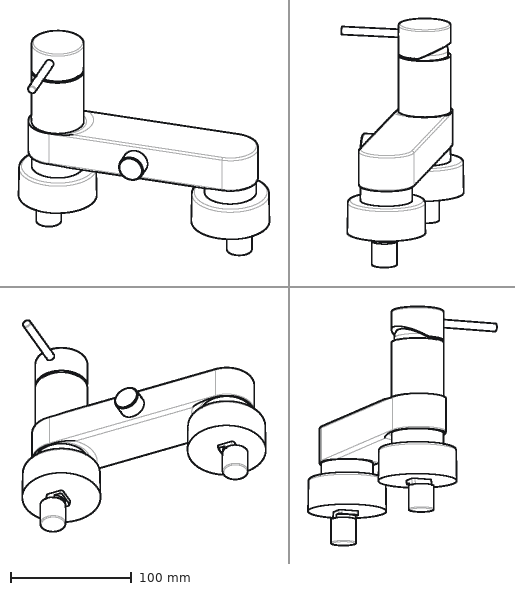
import cadquery as cq
import math


INLET_SPACING = 150.0
SHANK_RADIUS = 10.5
SHANK_HEIGHT = 20.2
SHANK_OFFSET = 7.7
SHANK_EDGE = 0.9
FLANGE_BOTTOM_RADIUS = 32.5
FLANGE_TOP_RADIUS = 32.0
FLANGE_BOTTOM = 25.8
FLANGE_TOP = 53.0
FLANGE_EDGE = 2.0
SLEEVE_RADIUS = 21.5

NECK_LENGTH_X = 14.8
NECK_LENGTH_Y = 17.6
NECK_CORNER = 2.0
NECK_TOP_OFFSET = 2.5
NECK_BOTTOM_OFFSET = 4.0
NECK_FOOT_RADIUS = 10.3
NECK_FOOT_TOP = 22.8

BODY_RADIUS = 23.0
LEFT_ARC_START = -0.5
LEFT_END = -24.5
BODY_BOTTOM = 64.3
BODY_TOP = 96.3
BODY_TOP_EDGE = 1.7
BODY_BOTTOM_EDGE = 3.0
DIP_DEPTH = 1.5
DIP_INNER_RADIUS = 23.6
DIP_OUTER_RADIUS = 29.5

COLUMN_RADIUS = 21.7
COLUMN_TOP = 142.0
DOME_RADIUS = 19.3
DOME_TOP = 154.8
DOME_EDGE = 8.4
CAP_BOTTOM = 143.8
CAP_TOP = 168.8
CAP_EDGE = 1.3
CAP_CUT_TOP = 153.7
CAP_CUT_END = -0.5
CAP_CUT_BLEND = 8.5

LEVER_RADIUS = 3.5
LEVER_Z = 159.7
LEVER_TIP = -70.0
LEVER_EDGE = 0.6

OUTLET_RADIUS = 10.5
OUTLET_Z = 80.5
OUTLET_TIP = -36.1
OUTLET_EDGE = 0.9


def cylinder(radius, bottom, top, x=0):
    return cq.Workplane("XY", origin=(x, 0, bottom)).circle(radius).extrude(top - bottom)


def rod_toward_front(radius, x, z, tip):
    """Horizontal rod from the plane Y = 0 to a tip at negative Y."""
    return cq.Workplane("XZ", origin=(x, 0, z)).circle(radius).extrude(-tip)


def make_body():
    bar = (
        cq.Workplane("XY", origin=(0, 0, BODY_BOTTOM))
        .moveTo(LEFT_ARC_START, -BODY_RADIUS)
        .lineTo(INLET_SPACING, -BODY_RADIUS)
        .threePointArc((INLET_SPACING + BODY_RADIUS, 0), (INLET_SPACING, BODY_RADIUS))
        .lineTo(LEFT_ARC_START, BODY_RADIUS)
        .threePointArc((LEFT_END, 0), (LEFT_ARC_START, -BODY_RADIUS))
        .close()
        .extrude(BODY_TOP - BODY_BOTTOM)
    )
    bar = bar.faces(">Z").edges().fillet(BODY_TOP_EDGE)
    return bar.faces("<Z").edges().fillet(BODY_BOTTOM_EDGE)


def make_dip(x, face_z, inward):
    """Shallow conical recess around a vertical axis; inward is the Z sign into the body."""
    floor_z = face_z + inward * DIP_DEPTH
    profile = [(0, face_z), (DIP_OUTER_RADIUS, face_z), (DIP_INNER_RADIUS, floor_z), (0, floor_z)]
    dip = cq.Workplane("XZ").polyline(profile).close().revolve(360, (0, 0), (0, 1))
    return dip.translate((x, 0, 0))


def make_neck(x, side):
    """Slanted bar with rounded corners, its foot trimmed round to stay on the shank."""
    neck = (
        cq.Workplane("XY", origin=(x + side * NECK_BOTTOM_OFFSET, 0, SHANK_HEIGHT))
        .rect(NECK_LENGTH_X, NECK_LENGTH_Y)
        .workplane(
            offset=FLANGE_BOTTOM - SHANK_HEIGHT,
            origin=(x + side * NECK_TOP_OFFSET, 0, SHANK_HEIGHT),
        )
        .rect(NECK_LENGTH_X, NECK_LENGTH_Y)
        .loft(ruled=True)
        .edges("not #Z")
        .fillet(NECK_CORNER)
    )
    trim = (
        cq.Workplane("XY", origin=(x + side * SHANK_OFFSET, 0, SHANK_HEIGHT))
        .circle(FLANGE_BOTTOM_RADIUS)
        .circle(NECK_FOOT_RADIUS)
        .extrude(NECK_FOOT_TOP - SHANK_HEIGHT)
    )
    return neck.cut(trim)


def make_inlet(x, side):
    """Sleeve, flange, neck and eccentric shank; side is the X sign of the eccentricity."""
    shank = cylinder(SHANK_RADIUS, 0, SHANK_HEIGHT, x + side * SHANK_OFFSET)
    shank = shank.faces("<Z").edges().fillet(SHANK_EDGE)
    flange = (
        cq.Workplane("XY", origin=(x, 0, FLANGE_BOTTOM))
        .circle(FLANGE_BOTTOM_RADIUS)
        .workplane(offset=FLANGE_TOP - FLANGE_BOTTOM)
        .circle(FLANGE_TOP_RADIUS)
        .loft()
        .faces(">Z").edges().fillet(FLANGE_EDGE)
    )
    sleeve = cylinder(SLEEVE_RADIUS, FLANGE_TOP, BODY_BOTTOM + DIP_DEPTH, x)
    return flange.union(sleeve).union(make_neck(x, side)).union(shank)


def make_column():
    column = cylinder(COLUMN_RADIUS, BODY_TOP - DIP_DEPTH, COLUMN_TOP)
    dome = cylinder(DOME_RADIUS, COLUMN_TOP, DOME_TOP).faces(">Z").edges().fillet(DOME_EDGE)
    return column.union(dome)


def make_cap():
    """Cap whose lower rim slopes up toward the rear to clear the tilting lever."""
    slope = math.atan2(CAP_CUT_TOP - CAP_BOTTOM, COLUMN_RADIUS - CAP_CUT_END)
    rear_y = 2 * COLUMN_RADIUS
    front_y = -rear_y
    rear_z = CAP_BOTTOM + (rear_y - CAP_CUT_END) * math.tan(slope)
    wedge = (
        cq.Workplane("YZ", origin=(-COLUMN_RADIUS, 0, 0))
        .polyline([
            (front_y, CAP_BOTTOM), (CAP_CUT_END, CAP_BOTTOM), (rear_y, rear_z),
            (rear_y, COLUMN_TOP), (front_y, COLUMN_TOP),
        ])
        .close()
        .extrude(2 * COLUMN_RADIUS)
    )
    rim_edge = cq.selectors.NearestToPointSelector((0, CAP_CUT_END, CAP_BOTTOM))
    wedge = wedge.edges("|X").edges(rim_edge).fillet(CAP_CUT_BLEND)
    cap = cylinder(COLUMN_RADIUS, CAP_BOTTOM, CAP_TOP).faces(">Z").edges().fillet(CAP_EDGE)
    return cap.cut(wedge)


def make_lever():
    lever = rod_toward_front(LEVER_RADIUS, 0, LEVER_Z, LEVER_TIP)
    return lever.faces("<Y").edges().fillet(LEVER_EDGE)


def make_outlet():
    outlet = rod_toward_front(OUTLET_RADIUS, INLET_SPACING / 2, OUTLET_Z, OUTLET_TIP)
    return outlet.faces("<Y").edges().chamfer(OUTLET_EDGE)


body = make_body()
body = body.cut(make_dip(0, BODY_TOP, -1))
for inlet_x in (0, INLET_SPACING):
    body = body.cut(make_dip(inlet_x, BODY_BOTTOM, 1))

result = body.union(make_inlet(0, -1)).union(make_inlet(INLET_SPACING, 1))
result = result.union(make_column()).union(make_cap()).union(make_lever()).union(make_outlet())